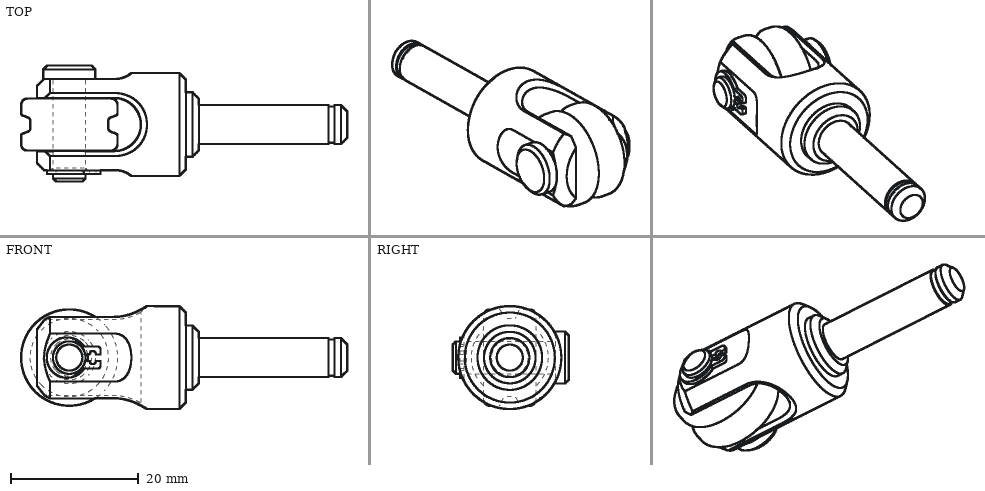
import cadquery as cq
import math


body_radius = 8.05
nose_x = -5.05
nose_chamfer = 2.05
shoulder_x = 18.25
collar_end_x = 20.3
collar_radius = 5.05
end_chamfer = 1.0
shank_radius = 3.05
shank_end_x = 43.5
groove_start_x = 40.55
groove_width = 0.9
groove_depth = 0.2
slot_half_width = 4.15
slot_arc_x = 7.05
slot_edge_chamfer = 0.95
flat_y = 7.15
flat_end_x = 7.2
flat_runout_radius = 3.9
hole_chamfer = 0.35

pin_radius = 2.55
pin_end_y = -8.95
pin_chamfer = 0.5
head_radius = 4.1
head_height = 2.1
head_chamfer = 0.6
clip_groove_radius = 2.05

clip_thickness = 0.6
clip_radius = 3.15
clip_center_x = -0.35
clip_end_x = 4.9
clip_arm_half_width = 1.75
clip_corner_radius = 0.5
clip_slot_half_width = 0.5
clip_eye_width = 0.95
clip_eye_height = 2.05
clip_eye_x = 3.7

roller_radius = 7.55
roller_half_width = 4.1
roller_edge_fillet = 1.0
neck_radius = 6.15
neck_half_width = 0.6
neck_fillet = 0.5
lip_fillet = 0.4
groove_wall_slope = 20.0


def y_cylinder(radius, y_start, y_end, x=0):
    """Cylinder parallel to Y between two Y positions."""
    base = cq.Workplane("XZ", origin=(x, y_start, 0))
    return base.circle(radius).extrude(y_start - y_end)


def make_turned_envelope():
    """Turned outline of fork, collar and shank, revolved about X."""
    groove_radius = shank_radius - groove_depth
    groove_end_x = groove_start_x + groove_width
    outline = [
        (nose_x, 0),
        (nose_x, body_radius - nose_chamfer),
        (nose_x + nose_chamfer, body_radius),
        (shoulder_x - end_chamfer, body_radius),
        (shoulder_x, body_radius - end_chamfer),
        (shoulder_x, collar_radius),
        (collar_end_x - end_chamfer, collar_radius),
        (collar_end_x, collar_radius - end_chamfer),
        (collar_end_x, shank_radius),
        (groove_start_x, shank_radius),
        (groove_start_x, groove_radius),
        (groove_end_x, groove_radius),
        (groove_end_x, shank_radius),
        (shank_end_x - end_chamfer, shank_radius),
        (shank_end_x, shank_radius - end_chamfer),
        (shank_end_x, 0),
    ]
    return cq.Workplane("XY").polyline(outline).close().revolve(360, (0, 0, 0), (1, 0, 0))


def make_slotted_bar():
    """Plain round bar with the fork slot and its chamfered rims."""
    bar = cq.Workplane("YZ", origin=(nose_x, 0, 0)).circle(body_radius).extrude(shank_end_x - nose_x)
    slot = (
        cq.Workplane("XY")
        .moveTo(nose_x, -slot_half_width)
        .lineTo(slot_arc_x, -slot_half_width)
        .threePointArc((slot_arc_x + slot_half_width, 0), (slot_arc_x, slot_half_width))
        .lineTo(nose_x, slot_half_width)
        .close()
        .extrude(body_radius, both=True)
    )
    bar = bar.cut(slot)
    rims = []
    for edge in bar.edges().vals():
        box = edge.BoundingBox()
        in_slot = max(abs(box.ymin), abs(box.ymax)) < slot_half_width + 0.005
        if in_slot and box.xmax > nose_x + 0.5 and box.zmin * box.zmax > 0:
            rims.append(edge)
    return bar.newObject(rims).chamfer(slot_edge_chamfer)


def make_flat_cutter(side):
    """Material outside one fork flat, with a hollow runout; side is +1 or -1."""
    runout_center_y = flat_y + flat_runout_radius
    arc_offset = flat_runout_radius * math.sqrt(0.5)
    return (
        cq.Workplane("XY")
        .moveTo(nose_x, side * flat_y)
        .lineTo(flat_end_x, side * flat_y)
        .threePointArc(
            (flat_end_x + arc_offset, side * (runout_center_y - arc_offset)),
            (flat_end_x + flat_runout_radius, side * runout_center_y),
        )
        .lineTo(nose_x, side * runout_center_y)
        .close()
        .extrude(body_radius, both=True)
    )


def make_fork():
    fork = make_turned_envelope().intersect(make_slotted_bar())
    for side in (1, -1):
        fork = fork.cut(make_flat_cutter(side))
    fork = fork.cut(y_cylinder(pin_radius, -flat_y, flat_y))
    countersink = cq.Solid.makeCone(
        pin_radius + hole_chamfer, pin_radius, hole_chamfer,
        cq.Vector(0, -flat_y, 0), cq.Vector(0, 1, 0),
    )
    return fork.cut(cq.Workplane(countersink))


def make_pin():
    shaft = y_cylinder(pin_radius, pin_end_y, flat_y).faces("<Y").chamfer(pin_chamfer)
    head = y_cylinder(head_radius, flat_y, flat_y + head_height).faces(">Y").chamfer(head_chamfer)
    groove_outer = y_cylinder(pin_radius, -flat_y - clip_thickness, -flat_y)
    groove = groove_outer.cut(y_cylinder(clip_groove_radius, -flat_y - clip_thickness, -flat_y))
    return shaft.union(head).cut(groove)


def make_clip():
    """Ring with two arms, seated in the pin groove against the fork flat."""
    outer_y = -flat_y - clip_thickness
    ring = y_cylinder(clip_radius, outer_y, -flat_y, clip_center_x)
    arms = (
        cq.Workplane("XY")
        .box(clip_end_x, clip_thickness, 2 * clip_arm_half_width, centered=(False, False, True))
        .edges("|Y and >X")
        .fillet(clip_corner_radius)
        .translate((0, outer_y, 0))
    )
    mouth = (
        cq.Workplane("XY")
        .box(clip_end_x, clip_thickness, 2 * clip_slot_half_width, centered=(False, False, True))
        .translate((0, outer_y, 0))
    )
    eye = (
        cq.Workplane("XZ", origin=(clip_eye_x, outer_y, 0))
        .slot2D(clip_eye_height, clip_eye_width, 90)
        .extrude(-clip_thickness)
    )
    bore = y_cylinder(clip_groove_radius, outer_y, -flat_y)
    return ring.union(arms).cut(mouth).cut(eye).cut(bore)


def make_rope_groove():
    """Ring cut from the roller: flat floor, hollow corners, sloping walls and rounded lips."""
    slope = math.radians(groove_wall_slope)
    turn = math.pi / 2 - slope

    def neck_point(angle):
        radius = neck_radius + neck_fillet * (1 - math.cos(angle))
        return radius, neck_half_width + neck_fillet * math.sin(angle)

    wall_foot = neck_point(turn)
    wall_top_radius = roller_radius - lip_fillet * (1 - math.cos(turn))
    wall_top_y = wall_foot[1] + (wall_top_radius - wall_foot[0]) * math.tan(slope)
    lip_y = wall_top_y + lip_fillet * math.sin(turn)

    def lip_point(angle):
        radius = roller_radius - lip_fillet * (1 - math.cos(angle))
        return radius, lip_y - lip_fillet * math.sin(angle)

    def mirrored(point):
        return point[0], -point[1]

    neck_middle = neck_point(turn / 2)
    lip_middle = lip_point(turn / 2)
    wall_top = lip_point(turn)
    neck_edge = neck_point(0)
    lip_edge = lip_point(0)
    return (
        cq.Workplane("XY")
        .moveTo(*mirrored(neck_edge))
        .lineTo(*neck_edge)
        .threePointArc(neck_middle, wall_foot)
        .lineTo(*wall_top)
        .threePointArc(lip_middle, lip_edge)
        .lineTo(*mirrored(lip_edge))
        .threePointArc(mirrored(lip_middle), mirrored(wall_top))
        .lineTo(*mirrored(wall_foot))
        .threePointArc(mirrored(neck_middle), mirrored(neck_edge))
        .close()
        .revolve(360, (0, 0, 0), (0, 1, 0))
    )


def make_roller():
    """Grooved roller with rounded rims and a bore for the pin."""
    roller = y_cylinder(roller_radius, -roller_half_width, roller_half_width)
    roller = roller.faces("|Y").edges().fillet(roller_edge_fillet)
    roller = roller.cut(make_rope_groove())
    return roller.cut(y_cylinder(pin_radius, -roller_half_width, roller_half_width))


fork = make_fork()
pin = make_pin()
clip = make_clip()
roller = make_roller()

result = cq.Compound.makeCompound([fork.val(), pin.val(), clip.val(), roller.val()])